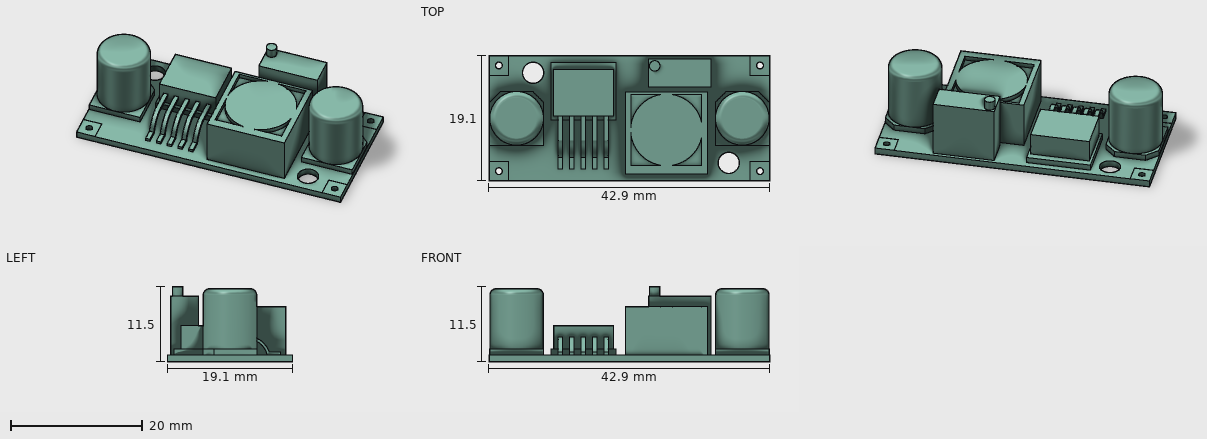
import cadquery as cq
import math


BOARD_LENGTH = 42.85
BOARD_WIDTH = 19.13
BOARD_TOP = 1.07
MOUNT_HOLE_DIAMETER = 3.2
MOUNT_HOLES = [(-14.7, 6.95), (15.15, -6.8)]

PAD_SIZE = 3.0
PAD_THICKNESS = 0.03
PAD_HOLE_DIAMETER = 1.0

CAPACITOR_OFFSET = 17.22
CAPACITOR_BASE_SIZE = 8.25
CAPACITOR_BASE_HEIGHT = 0.93
CAPACITOR_BASE_CHAMFER = 1.7
CAN_DIAMETER = 8.2
CAN_HEIGHT = 9.2
CAN_FILLET = 1.0

REGULATOR_X = -7.0
TAB_LENGTH = 9.95
TAB_WIDTH = 8.75
TAB_HEIGHT = 0.93
TAB_FRONT_Y = -0.22
BODY_LENGTH = 9.15
BODY_WIDTH = 7.1
BODY_FRONT_Y = 0.35
BODY_TOP = 5.55

LEAD_CENTER_X = -7.05
LEAD_COUNT = 5
LEAD_PITCH = 1.75
LEAD_WIDTH = 0.7
LEAD_THICKNESS = 0.42
LEAD_TOP = 3.85
LEAD_BEND_Y = -3.45
LEAD_HEEL_Y = -6.0
LEAD_TOE_Y = -7.7
LEAD_BEND_RADIUS = 3.6

INDUCTOR_CENTER = (5.65, -2.24)
INDUCTOR_SIZE = 12.55
INDUCTOR_TOP = 8.45
POCKET_CENTER = (5.6, -1.77)
POCKET_SIZE = 10.8
POCKET_DEPTH = 0.7
CORE_CENTER = (5.66, -1.77)
CORE_DIAMETER = 10.95

TRIMMER_CENTER = (7.7, 6.92)
TRIMMER_LENGTH = 9.53
TRIMMER_WIDTH = 4.25
TRIMMER_TOP = 10.05
SCREW_CENTER = (3.85, 8.0)
SCREW_DIAMETER = 1.6
SCREW_TOP = 11.5


def block(center, length, width, bottom, top):
    """Upright box centred on an XY point between two heights."""
    return (
        cq.Workplane("XY", origin=(center[0], center[1], bottom))
        .rect(length, width)
        .extrude(top - bottom)
    )


def cylinder(center, diameter, bottom, top):
    """Vertical cylinder centred on an XY point between two heights."""
    return (
        cq.Workplane("XY", origin=(center[0], center[1], bottom))
        .circle(diameter / 2)
        .extrude(top - bottom)
    )


def make_board():
    board = block((0, 0), BOARD_LENGTH, BOARD_WIDTH, 0, BOARD_TOP)
    pad_top = BOARD_TOP + PAD_THICKNESS
    pad_x = (BOARD_LENGTH - PAD_SIZE) / 2
    pad_y = (BOARD_WIDTH - PAD_SIZE) / 2
    for x in (-pad_x, pad_x):
        for y in (-pad_y, pad_y):
            board = board.union(block((x, y), PAD_SIZE, PAD_SIZE, BOARD_TOP, pad_top))
            board = board.cut(cylinder((x, y), PAD_HOLE_DIAMETER, 0, pad_top))
    for center in MOUNT_HOLES:
        board = board.cut(cylinder(center, MOUNT_HOLE_DIAMETER, 0, BOARD_TOP))
    return board


def make_capacitor(x):
    """Filleted can on a square base whose two +Y corners are chamfered."""
    base_top = BOARD_TOP + CAPACITOR_BASE_HEIGHT
    base = (
        block((x, 0), CAPACITOR_BASE_SIZE, CAPACITOR_BASE_SIZE, BOARD_TOP, base_top)
        .faces(">Y")
        .edges("|Z")
        .chamfer(CAPACITOR_BASE_CHAMFER)
    )
    can = cylinder((x, 0), CAN_DIAMETER, base_top, base_top + CAN_HEIGHT)
    return base.union(can.faces(">Z").edges().fillet(CAN_FILLET))


def make_lead(x):
    """Gull-wing lead: straight out of the body, arched down, then a flat foot."""
    foot_top = BOARD_TOP + LEAD_THICKNESS

    drop_y = LEAD_HEEL_Y - LEAD_BEND_Y
    drop_z = foot_top - LEAD_TOP
    chord = math.hypot(drop_y, drop_z)
    center_distance = math.sqrt(LEAD_BEND_RADIUS**2 - (chord / 2) ** 2)
    normal_y = drop_z / chord
    normal_z = -drop_y / chord
    center_y = (LEAD_BEND_Y + LEAD_HEEL_Y) / 2 - center_distance * normal_y
    center_z = (LEAD_TOP + foot_top) / 2 - center_distance * normal_z
    inner_radius = LEAD_BEND_RADIUS - LEAD_THICKNESS

    run_bottom = LEAD_TOP - LEAD_THICKNESS
    inner_start_y = center_y - math.sqrt(inner_radius**2 - (run_bottom - center_z) ** 2)
    inner_end_y = center_y - math.sqrt(inner_radius**2 - (BOARD_TOP - center_z) ** 2)
    outer_middle = (
        center_y + LEAD_BEND_RADIUS * normal_y,
        center_z + LEAD_BEND_RADIUS * normal_z,
    )
    inner_middle = (
        center_y + inner_radius * normal_y,
        center_z + inner_radius * normal_z,
    )

    return (
        cq.Workplane("YZ", origin=(x - LEAD_WIDTH / 2, 0, 0))
        .moveTo(BODY_FRONT_Y, LEAD_TOP)
        .lineTo(LEAD_BEND_Y, LEAD_TOP)
        .threePointArc(outer_middle, (LEAD_HEEL_Y, foot_top))
        .lineTo(LEAD_TOE_Y, foot_top)
        .lineTo(LEAD_TOE_Y, BOARD_TOP)
        .lineTo(inner_end_y, BOARD_TOP)
        .threePointArc(inner_middle, (inner_start_y, run_bottom))
        .lineTo(BODY_FRONT_Y, run_bottom)
        .close()
        .extrude(LEAD_WIDTH)
    )


def make_regulator():
    tab_top = BOARD_TOP + TAB_HEIGHT
    tab_center = (REGULATOR_X, TAB_FRONT_Y + TAB_WIDTH / 2)
    body_center = (REGULATOR_X, BODY_FRONT_Y + BODY_WIDTH / 2)
    regulator = block(tab_center, TAB_LENGTH, TAB_WIDTH, BOARD_TOP, tab_top)
    regulator = regulator.union(block(body_center, BODY_LENGTH, BODY_WIDTH, tab_top, BODY_TOP))
    for index in range(LEAD_COUNT):
        offset = (index - (LEAD_COUNT - 1) / 2) * LEAD_PITCH
        regulator = regulator.union(make_lead(LEAD_CENTER_X + offset))
    return regulator


def make_inductor():
    """Square housing with a shallow square pocket around a round core."""
    pocket_floor = INDUCTOR_TOP - POCKET_DEPTH
    housing = block(INDUCTOR_CENTER, INDUCTOR_SIZE, INDUCTOR_SIZE, BOARD_TOP, INDUCTOR_TOP)
    pocket = block(POCKET_CENTER, POCKET_SIZE, POCKET_SIZE, pocket_floor, INDUCTOR_TOP)
    core = cylinder(CORE_CENTER, CORE_DIAMETER, pocket_floor, INDUCTOR_TOP)
    return housing.cut(pocket.cut(core))


def make_trimmer():
    body = block(TRIMMER_CENTER, TRIMMER_LENGTH, TRIMMER_WIDTH, BOARD_TOP, TRIMMER_TOP)
    return body.union(cylinder(SCREW_CENTER, SCREW_DIAMETER, TRIMMER_TOP, SCREW_TOP))


result = make_board()
for capacitor_x in (-CAPACITOR_OFFSET, CAPACITOR_OFFSET):
    result = result.union(make_capacitor(capacitor_x))
result = result.union(make_regulator())
result = result.union(make_inductor())
result = result.union(make_trimmer())